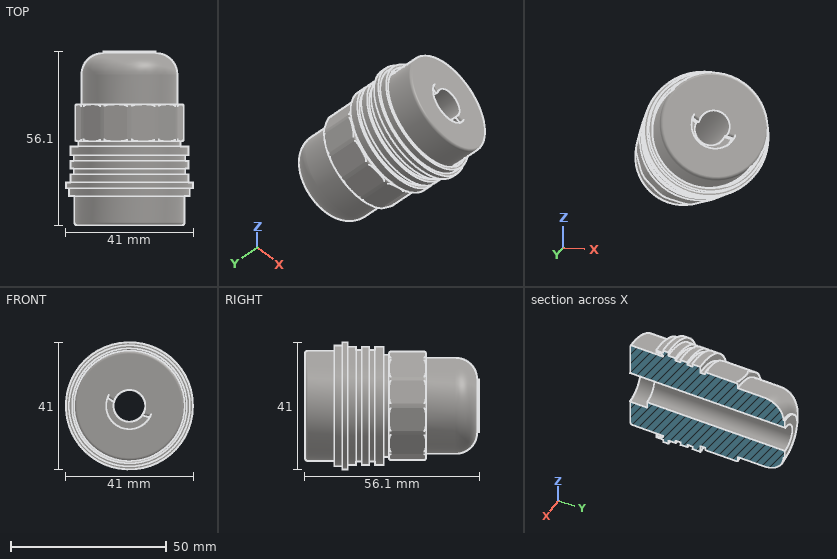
import cadquery as cq
import math


plug_radius = 17.8
plug_edge_round = 1.0

sleeve_front = 9.45
collar_radius = 19.5
flange_radius = 20.5
rib_radius = 19.05
groove_radius = 18.0
neck_radius = 16.5
sleeve_rear = 27.05
sleeve_steps = [
    (11.95, collar_radius),
    (13.85, flange_radius),
    (16.5, rib_radius),
    (18.25, groove_radius),
    (20.75, rib_radius),
    (22.55, groove_radius),
    (25.45, rib_radius),
    (sleeve_rear, neck_radius),
]

gap_radius = 18.5
gap_depth = 2.5

nut_front = sleeve_rear
nut_rear = 39.0
nut_sides = 12
nut_across_flats = 34.15
nut_corner_radius = 17.5
nut_end_round = 0.7

cap_radius = 15.5
dome_radius = 7.0
lip_radius = cap_radius - dome_radius
total_length = 56.05
lip_height = 0.55
dome_end = total_length - lip_height
dome_start = dome_end - dome_radius

bore_radius = 5.08
recess_radius = 7.5
recess_depth = 6.2
recess_turn = 25.0
recess_end_tilt = 10.0
tooth_height = 1.0
tooth_length = 4.4

HALF_ROOT = math.sqrt(0.5)


def disc(front, rear, radius):
    """Solid cylinder on the Y axis between two Y positions."""
    return cq.Workplane("XZ", origin=(0, front, 0)).circle(radius).extrude(front - rear)


def make_plug():
    """Front cylinder running back to the rear of the sleeve collar, front edge rounded."""
    plug = disc(0, sleeve_steps[0][0], plug_radius)
    return plug.faces("<Y").edges().fillet(plug_edge_round)


def make_sleeve():
    """Stack of discs that form the collar, flange, ribs, grooves and neck."""
    front = sleeve_front
    sleeve = None
    for rear, radius in sleeve_steps:
        step = disc(front, rear, radius)
        sleeve = step if sleeve is None else sleeve.union(step)
        front = rear
    return sleeve


def make_gap():
    """Ring removed from the sleeve mouth; its floor is a quarter round."""
    width = gap_radius - plug_radius
    gap_rear = sleeve_front + gap_depth
    wall_end = gap_rear - width
    return (
        cq.Workplane("XY")
        .moveTo(plug_radius, sleeve_front)
        .lineTo(gap_radius, sleeve_front)
        .lineTo(gap_radius, wall_end)
        .threePointArc(
            (plug_radius + width * HALF_ROOT, wall_end + width * HALF_ROOT),
            (plug_radius, gap_rear),
        )
        .close()
        .revolve(360, (0, 0, 0), (0, 1, 0))
    )


def make_nut():
    """Polygon prism trimmed by a cylinder with rounded ends, with corners on the X and Z axes."""
    across_corners = nut_across_flats / math.cos(math.pi / nut_sides)
    length = nut_rear - nut_front
    prism = (
        cq.Workplane("XZ", origin=(0, nut_front, 0))
        .polygon(nut_sides, across_corners)
        .extrude(-length)
    )
    envelope = disc(nut_front, nut_rear, nut_corner_radius)
    envelope = envelope.faces("<Y or >Y").edges().fillet(nut_end_round)
    return prism.intersect(envelope)


def make_cap():
    """Cylinder with a quarter-round dome and a thin flat lip."""
    return (
        cq.Workplane("XY")
        .moveTo(0, nut_rear)
        .lineTo(cap_radius, nut_rear)
        .lineTo(cap_radius, dome_start)
        .threePointArc(
            (lip_radius + dome_radius * HALF_ROOT, dome_start + dome_radius * HALF_ROOT),
            (lip_radius, dome_end),
        )
        .lineTo(lip_radius, total_length)
        .lineTo(0, total_length)
        .close()
        .revolve(360, (0, 0, 0), (0, 1, 0))
    )


def make_tooth():
    """Tooth on the +X end wall: rounded at the front face, ramping back to the wall behind."""
    tooth = (
        cq.Workplane("YZ")
        .moveTo(0, 0)
        .threePointArc(
            (tooth_height * (1 - HALF_ROOT), -tooth_height * HALF_ROOT),
            (tooth_height, -tooth_height),
        )
        .lineTo(tooth_length, 0)
        .close()
        .extrude(recess_radius, both=True)
    )
    return tooth.rotate((0, 0, 0), (0, 1, 0), -recess_end_tilt).translate((bore_radius, 0, 0))


def make_recess():
    """Half-ring cutter between two tilted end walls, less the tooth on each of them."""
    wall_rise = math.tan(math.radians(recess_end_tilt))
    reach = 2 * recess_radius
    reach_height = (reach - bore_radius) * wall_rise
    sector = (
        cq.Workplane("XZ")
        .polyline([
            (0, -bore_radius * wall_rise),
            (reach, reach_height),
            (reach, -reach),
            (-reach, -reach),
            (-reach, reach_height),
        ])
        .close()
        .extrude(-recess_depth)
    )
    tooth = make_tooth()
    recess = disc(0, recess_depth, recess_radius).intersect(sector)
    recess = recess.cut(tooth).cut(tooth.mirror("YZ"))
    return recess.rotate((0, 0, 0), (0, 1, 0), recess_turn)


body = make_sleeve().cut(make_gap())
body = body.union(make_plug()).union(make_nut()).union(make_cap())
result = body.cut(make_recess()).cut(disc(0, total_length, bore_radius))